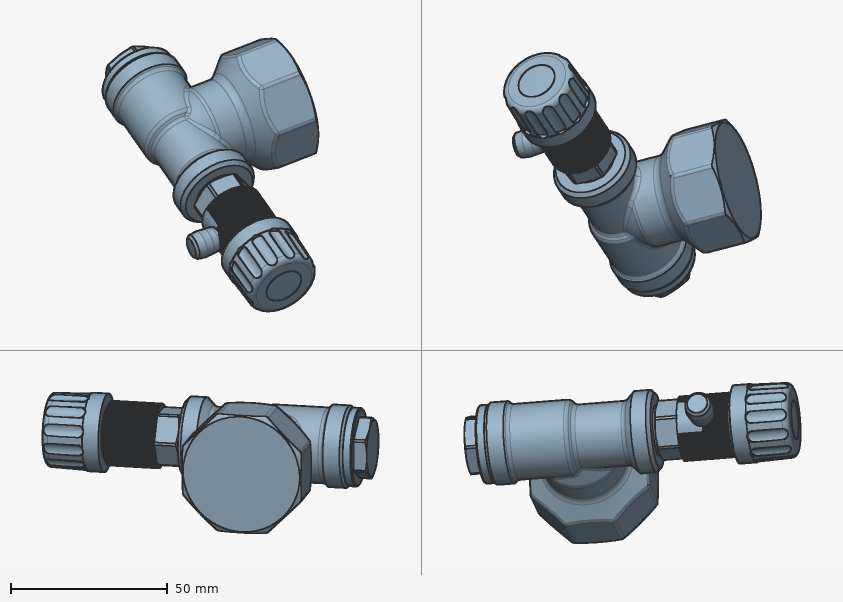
import cadquery as cq
import math


LARGE_RUN_RADIUS = 12.2
SMALL_RUN_RADIUS = 10.4
COLLAR_RADIUS = 13.3
COLLAR_FOOT_RADIUS = 12.3
RUN_LEFT = -27.1
LEFT_COLLAR_END = -20.8
STEP_START = -0.6
RIGHT_COLLAR_START = 20.6
RUN_RIGHT = 26.8
RIGHT_CHAMFER = 1.3
STEP_FILLET = 1.9
COLLAR_FILLET = 1.9

PLUG_LEFT = -34.3
FLANGE_LEFT = -30.0
FLANGE_RADIUS = 12.6
FLANGE_CHAMFER = 0.4
PLUG_ACROSS_FLATS = 18.0
PLUG_CORNER_RADIUS = 10.2
PLUG_CHAMFER = 0.4
PLUG_TURN = 27.2

BRANCH_END = 39.9
OCTAGON_ACROSS_FLATS = 38.8
OCTAGON_TURN = 22.5
OCTAGON_EDGE_FILLET = 1.8
OCTAGON_RIM_FILLET = 1.8
END_CHAMFER_FLAT = 0.2
END_CHAMFER_ANGLE = 30.0
CONE_START = 23.3
NECK_RADIUS = 14.0
CONE_BOTTOM = CONE_START - (OCTAGON_ACROSS_FLATS / 2 - NECK_RADIUS)
NECK_FILLET = 3.9
NECK_BOTTOM = 8.0
TAPER_FILLET = 2.3
NECK_TIP_RADIUS = 9.5
JUNCTION_FILLET = 1.6

STEM_RADIUS = 8.2
HEX_LEFT = 27.6
HEX_RIGHT = 35.0
HEX_ACROSS_FLATS = 17.0
HEX_CORNER_RADIUS = 9.5
HEX_CHAMFER = 0.4
KNURL_RADIUS = 10.4
KNURL_DEPTH = 0.3
KNURL_TEETH = 90
KNURL_RIGHT = 52.2
KNURL_CHAMFER_LENGTH = 0.7
KNURL_CHAMFER_HEIGHT = 1.3
PATCH_WIDTH = 11.2

NOZZLE_X = 43.4
NOZZLE_BASE_RADIUS = 4.0
NOZZLE_MIDDLE_RADIUS = 4.2
NOZZLE_BARB_RADIUS = 4.5
NOZZLE_NOSE_RADIUS = 4.1
NOZZLE_TIP_RADIUS = 3.3
NOZZLE_MIDDLE = 12.5
NOZZLE_BARB = 15.1
NOZZLE_NOSE = 17.7
NOZZLE_TIP = 18.7

KNOB_LEFT = 52.7
KNOB_RIM_END = 58.0
KNOB_RIM_RADIUS = 12.6
KNOB_TAPER_RADIUS = 12.4
KNOB_END_RADIUS = 12.0
KNOB_RIGHT = 71.5
KNOB_FILLET = 2.1
KNOB_BUTTON_RADIUS = 6.3
KNOB_BUTTON_EDGE = 71.6
KNOB_BUTTON_RIGHT = 71.8
FLUTES = 12
FLUTE_WIDTH = 3.8
FLUTE_FLOOR = 11.3
FLUTE_HOLLOW_RADIUS = 3.2
FLUTE_LEFT = 57.7
FLUTE_RIGHT = 70.8


def revolve_about_x(profile):
    """Solid of revolution from a closed XY profile whose Y is the radius."""
    return profile.close().revolve(360, (0, 0, 0), (1, 0, 0))


def edge_box(low, high):
    """Selector of the edges that lie wholly between two corners, with a little slack."""
    slack = 0.01
    return cq.selectors.BoxSelector(
        [value - slack for value in low],
        [value + slack for value in high],
        boundingbox=True,
    )


def cylinder_x(radius, start, end):
    return cq.Workplane("YZ").workplane(offset=start).circle(radius).extrude(end - start)


def hexagon_x(across_flats, corner_radius, chamfer, start, end, turn):
    """Hexagonal bar along X with a corner on Y before turning.

    Its corners are cut by a cylinder, and its left face is chamfered to the circle inside the flats.
    """
    corner_diameter = across_flats / math.cos(math.pi / 6)
    bar = cq.Workplane("YZ").workplane(offset=start).polygon(6, corner_diameter).extrude(end - start)
    envelope = revolve_about_x(
        cq.Workplane("XY")
        .moveTo(start, 0)
        .lineTo(start, across_flats / 2)
        .lineTo(start + chamfer, corner_radius)
        .lineTo(end, corner_radius)
        .lineTo(end, 0)
    )
    return bar.intersect(envelope).rotate((0, 0, 0), (1, 0, 0), turn)


def make_run():
    collar_rise = COLLAR_RADIUS - COLLAR_FOOT_RADIUS
    left_drop = COLLAR_RADIUS - LARGE_RUN_RADIUS
    step_drop = LARGE_RUN_RADIUS - SMALL_RUN_RADIUS
    right_rise = COLLAR_RADIUS - SMALL_RUN_RADIUS
    foot_x = LEFT_COLLAR_END + left_drop
    step_end = STEP_START + step_drop
    throat_x = RIGHT_COLLAR_START - right_rise
    run = revolve_about_x(
        cq.Workplane("XY")
        .moveTo(RUN_LEFT, 0)
        .lineTo(RUN_LEFT, COLLAR_FOOT_RADIUS)
        .lineTo(RUN_LEFT + collar_rise, COLLAR_RADIUS)
        .lineTo(LEFT_COLLAR_END, COLLAR_RADIUS)
        .lineTo(foot_x, LARGE_RUN_RADIUS)
        .lineTo(STEP_START, LARGE_RUN_RADIUS)
        .lineTo(step_end, SMALL_RUN_RADIUS)
        .lineTo(throat_x, SMALL_RUN_RADIUS)
        .lineTo(RIGHT_COLLAR_START, COLLAR_RADIUS)
        .lineTo(RUN_RIGHT - RIGHT_CHAMFER, COLLAR_RADIUS)
        .lineTo(RUN_RIGHT, COLLAR_RADIUS - RIGHT_CHAMFER)
        .lineTo(RUN_RIGHT, 0)
    )
    run = round_rings(run, [foot_x, throat_x], COLLAR_FILLET)
    return round_rings(run, [STEP_START, step_end], STEP_FILLET)


def round_rings(body, ring_positions, radius):
    """Fillet the circular edges of a revolved body that lie at the given X positions."""
    reach = 2 * COLLAR_RADIUS
    for x in ring_positions:
        ring = edge_box((x, -reach, -reach), (x, reach, reach))
        body = body.edges("%CIRCLE").edges(ring).fillet(radius)
    return body


def make_plug():
    flange = cylinder_x(FLANGE_RADIUS, FLANGE_LEFT, RUN_LEFT).faces("<X").edges().chamfer(FLANGE_CHAMFER)
    head = hexagon_x(PLUG_ACROSS_FLATS, PLUG_CORNER_RADIUS, PLUG_CHAMFER, PLUG_LEFT, FLANGE_LEFT, PLUG_TURN)
    return flange.union(head)


def make_branch_head():
    """Octagonal end of the branch with its chamfered rim and 45 degree shoulder."""
    flat = OCTAGON_ACROSS_FLATS / 2
    corner = flat / math.cos(math.pi / 8)
    octagon = (
        cq.Workplane("XZ")
        .polygon(8, 2 * corner)
        .extrude(-BRANCH_END)
        .rotate((0, 0, 0), (0, 1, 0), OCTAGON_TURN)
        .edges("|Y")
        .fillet(OCTAGON_EDGE_FILLET)
    )
    chamfer_slope = math.tan(math.radians(END_CHAMFER_ANGLE))
    envelope = (
        cq.Workplane("XY")
        .moveTo(0, CONE_BOTTOM)
        .lineTo(NECK_RADIUS, CONE_BOTTOM)
        .lineTo(corner, CONE_START + corner - flat)
        .lineTo(corner, BRANCH_END - END_CHAMFER_FLAT - (corner - flat) * chamfer_slope)
        .lineTo(flat - END_CHAMFER_FLAT / chamfer_slope, BRANCH_END)
        .lineTo(0, BRANCH_END)
        .close()
        .revolve(360, (0, 0, 0), (0, 1, 0))
    )
    head = octagon.intersect(envelope)
    rim_zone = edge_box((-corner, CONE_START, -corner), (corner, CONE_START + corner - flat, corner))
    return head.edges(rim_zone).fillet(OCTAGON_RIM_FILLET)


def make_neck():
    """Round neck of the branch, tapered where it enters the run and flared under the octagon."""
    setback = NECK_FILLET * math.tan(math.pi / 8)
    flare = setback * math.cos(math.pi / 4)
    neck = (
        cq.Workplane("XY")
        .lineTo(NECK_TIP_RADIUS, 0)
        .lineTo(NECK_RADIUS, NECK_BOTTOM)
        .lineTo(NECK_RADIUS, CONE_BOTTOM - setback)
        .radiusArc((NECK_RADIUS + flare, CONE_BOTTOM + flare), NECK_FILLET)
        .lineTo(0, CONE_BOTTOM + flare)
        .close()
        .revolve(360, (0, 0, 0), (0, 1, 0))
    )
    taper_edge = edge_box((-NECK_RADIUS, NECK_BOTTOM, -NECK_RADIUS), (NECK_RADIUS, NECK_BOTTOM, NECK_RADIUS))
    return neck.edges(taper_edge).fillet(TAPER_FILLET)


def make_tee():
    core = make_run().union(make_neck())
    junction = edge_box(
        (-NECK_RADIUS, 0, -LARGE_RUN_RADIUS),
        (NECK_RADIUS, LARGE_RUN_RADIUS, LARGE_RUN_RADIUS),
    )
    core = core.edges("%BSPLINE").edges(junction).fillet(JUNCTION_FILLET)
    return core.union(make_branch_head()).union(make_plug())


def make_knurl():
    """Grip with straight V-shaped teeth, chamfered at its right end."""
    points = []
    for i in range(2 * KNURL_TEETH):
        radius = KNURL_RADIUS - KNURL_DEPTH * (i % 2)
        angle = math.pi * i / KNURL_TEETH
        points.append((radius * math.cos(angle), radius * math.sin(angle)))
    length = KNURL_RIGHT - HEX_RIGHT
    teeth = cq.Workplane("YZ").workplane(offset=HEX_RIGHT).polyline(points).close().extrude(length)
    blank = revolve_about_x(
        cq.Workplane("XY")
        .moveTo(HEX_RIGHT, 0)
        .lineTo(HEX_RIGHT, KNURL_RADIUS)
        .lineTo(KNURL_RIGHT - KNURL_CHAMFER_LENGTH, KNURL_RADIUS)
        .lineTo(KNURL_RIGHT, KNURL_RADIUS - KNURL_CHAMFER_HEIGHT)
        .lineTo(KNURL_RIGHT, 0)
    )
    half = PATCH_WIDTH / 2
    patch = (
        cq.Workplane("XZ")
        .moveTo(HEX_RIGHT, -half)
        .lineTo(NOZZLE_X, -half)
        .lineTo(NOZZLE_X, half)
        .lineTo(HEX_RIGHT, half)
        .close()
        .extrude(KNURL_RADIUS)
    )
    return teeth.intersect(blank).union(patch.intersect(blank))


def make_nozzle():
    return (
        cq.Workplane("XY")
        .moveTo(NOZZLE_X, 0)
        .lineTo(NOZZLE_X + NOZZLE_BASE_RADIUS, 0)
        .lineTo(NOZZLE_X + NOZZLE_BASE_RADIUS, -KNURL_RADIUS)
        .lineTo(NOZZLE_X + NOZZLE_MIDDLE_RADIUS, -NOZZLE_MIDDLE)
        .lineTo(NOZZLE_X + NOZZLE_BARB_RADIUS, -NOZZLE_BARB)
        .lineTo(NOZZLE_X + NOZZLE_NOSE_RADIUS, -NOZZLE_NOSE)
        .lineTo(NOZZLE_X + NOZZLE_TIP_RADIUS, -NOZZLE_TIP)
        .lineTo(NOZZLE_X, -NOZZLE_TIP)
        .close()
        .revolve(360, (NOZZLE_X, 0, 0), (NOZZLE_X, 1, 0))
    )


def make_flute_cutter():
    """Round-ended slot over the top of the knob, with a hollow floor along X."""
    length = FLUTE_RIGHT - FLUTE_LEFT
    slot = (
        cq.Workplane("XY")
        .center((FLUTE_LEFT + FLUTE_RIGHT) / 2, 0)
        .slot2D(length, FLUTE_WIDTH)
        .extrude(FLUTE_FLOOR + FLUTE_HOLLOW_RADIUS)
    )
    hollow = cylinder_x(FLUTE_HOLLOW_RADIUS, FLUTE_LEFT, FLUTE_RIGHT)
    return slot.intersect(hollow.translate((0, 0, FLUTE_FLOOR + FLUTE_HOLLOW_RADIUS)))


def make_knob():
    knob = revolve_about_x(
        cq.Workplane("XY")
        .moveTo(KNOB_LEFT, 0)
        .lineTo(KNOB_LEFT, KNOB_RIM_RADIUS)
        .lineTo(KNOB_RIM_END, KNOB_RIM_RADIUS)
        .lineTo(KNOB_RIM_END, KNOB_TAPER_RADIUS)
        .lineTo(KNOB_RIGHT, KNOB_END_RADIUS)
        .lineTo(KNOB_RIGHT, 0)
    )
    knob = knob.faces(">X").edges().fillet(KNOB_FILLET)
    dome_height = KNOB_BUTTON_RIGHT - KNOB_BUTTON_EDGE
    dome_radius = (KNOB_BUTTON_RADIUS**2 + dome_height**2) / (2 * dome_height)
    button = revolve_about_x(
        cq.Workplane("XY")
        .moveTo(KNOB_RIGHT, 0)
        .lineTo(KNOB_RIGHT, KNOB_BUTTON_RADIUS)
        .lineTo(KNOB_BUTTON_EDGE, KNOB_BUTTON_RADIUS)
        .radiusArc((KNOB_BUTTON_RIGHT, 0), dome_radius)
    )
    cutter = make_flute_cutter()
    pitch = 360 / FLUTES
    for i in range(FLUTES):
        knob = knob.cut(cutter.rotate((0, 0, 0), (1, 0, 0), (i + 0.5) * pitch))
    return knob.union(button)


def make_drain_cock():
    stem = cylinder_x(STEM_RADIUS, RUN_RIGHT, KNOB_LEFT)
    nut = hexagon_x(HEX_ACROSS_FLATS, HEX_CORNER_RADIUS, HEX_CHAMFER, HEX_LEFT, HEX_RIGHT, 0)
    return stem.union(nut).union(make_knurl()).union(make_nozzle()).union(make_knob())


tee = make_tee()
drain_cock = make_drain_cock()
result = cq.Compound.makeCompound([tee.solids().val(), drain_cock.solids().val()])